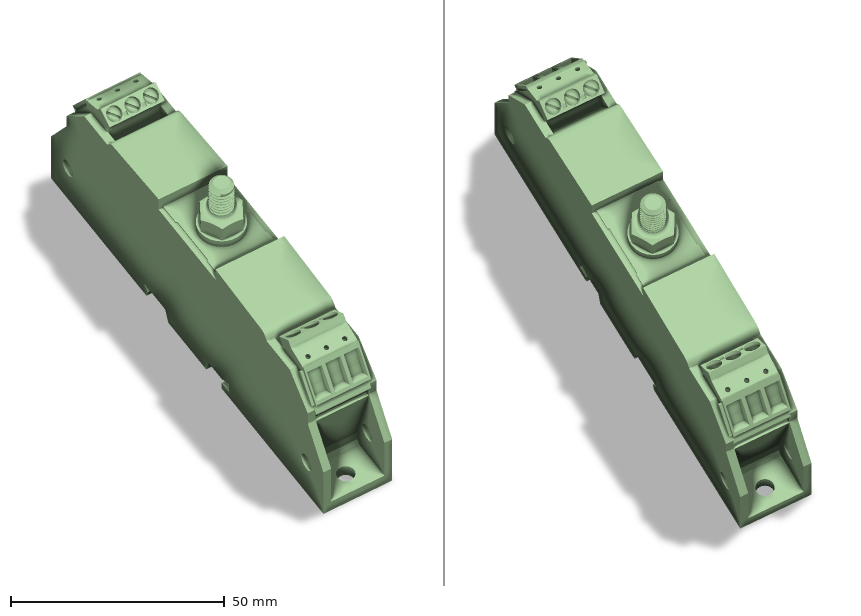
import cadquery as cq
import math

LENGTH = 120.0
WIDTH = 19.0
HALF_LENGTH = LENGTH / 2
END_HEIGHT = 15.3
SHOULDER_X = 53.1
SHOULDER_BOTTOM_Z = 26.2
SHOULDER_TOP_Z = 30.0
DECK_X = 45.2
DECK_Z = 38.0
CROWN_X = 34.6
CROWN_EDGE_Z = 38.75
CROWN_EDGE_ANGLE = 57.0
CROWN_ARC_X = 32.5
CROWN_ARC_Z = 40.0
CROWN_TOP_Z = 41.2
SEAT_HALF_LENGTH = 12.5
SEAT_Z = 37.4

CLEARANCE = 1.0

POCKET_WIDTH = 14.7
FLOOR_Z = 3.2
POCKET_BACK_X = 48.0
FLOOR_BEVEL = 1.1
BACK_TOP_Z = 6.8
RAMP_TOP_X = 53.1
RAMP_TOP_Z = 25.7
RECESS_FOOT_Z = 32.7
HOLE_DIAMETER = 4.5
SIDE_HOLE_X = 52.5
SIDE_HOLE_Z = 11.3
FLOOR_HOLE_X = 54.7

SLOT_ROOF_Z = 3.5
HOOK_MOUTH_X = -17.9
HOOK_NOSE = (-17.3, 1.9)
HOOK_UNDERCUT = (-18.9, 3.0)
HOOK_ROOF_END_X = -9.7
HOOK_END_X = -8.3
LATCH_START_X = 8.4
LATCH_ROOF_START_X = 9.3
LATCH_MOUTH_X = 15.2
LATCH_BACK_X = 18.4
LATCH_BACK_TOP_Z = 4.9
LATCH_LEDGE_Z = 2.1

STUD_TOP_Z = 54.25
STUD_DIAMETER = 6.0
STUD_TIP_DIAMETER = 4.0
STUD_TIP_HEIGHT = 0.9
THREAD_PITCH = 1.0
THREAD_CORE_DIAMETER = 4.9
THREAD_CREST_FLAT = THREAD_PITCH / 8
THREAD_OVERSHOOT = 0.05
PLATE_TOP_Z = 37.8
PLATE_WIDTH = 16.6
PLATE_NOTCH_LENGTH = 13.7
PLATE_NOTCH_DEPTH = 0.35
WASHER_DIAMETER = 12.0
WASHER_TOP_Z = 39.8
NUT_ACROSS_FLATS = 10.0
NUT_TOP_Z = 44.7
NUT_FACE_DIAMETER = 9.0
NUT_CHAMFER_ANGLE = 30.0

POLES = 3
POLE_PITCH = 5.08
BLOCK_WIDTH = POLES * POLE_PITCH
WIRE_FACE_LOW = (-53.4, 32.3)
WIRE_FACE_HIGH = (-47.75, 40.65)
TOP_GROOVE = (-47.4, 40.25)
TOP_FACE_LOW = (-47.1, 40.55)
STEP_FOOT = (-42.5, 42.1)
PEAK = (-41.1, 43.8)
SCREW_FACE_END = (-37.1, 41.1)
RIB_ROOT = (-52.2, 31.0)
RIB_TOP = (-53.4, 29.1)
RIB_BOTTOM = (-53.4, 28.8)
UNDERSIDE_OUTER = (-52.7, 28.6)
UNDERSIDE_INNER = (-51.5, RAMP_TOP_Z)
FAR_BLOCK_SHIFT = 0.4
BLOCK_BACK_X = -38.5
BLOCK_BACK_Z = 39.7
KEY_INNER_OFFSET = 1.6
KEY_OUTER_OFFSET = 0.85
KEY_LENGTH = 9.0
KEY_HEIGHT = 0.75
KEY_GROOVE_DEPTH = 0.3
WIRE_OPENING_WIDTH = 4.1
WIRE_OPENING_DEPTH = 2.0
WIRE_OPENING_DRAFT = 20.0
WIRE_OPENING_LOW_X = -51.1
WIRE_OPENING_LOW_Z = 33.1
WIRE_OPENING_BEND = (-49.8, 35.1)
WIRE_OPENING_HIGH_X = -47.5
WIRE_OPENING_HIGH_Z = 39.4
TEST_HOLE_DIAMETER = 1.3
TEST_HOLE_DEPTH = 1.5
TEST_HOLE_X = -45.8
SCREW_DIAMETER = 4.0
SCREW_RECESS_DEPTH = 1.3
SCREW_SLOT_WIDTH = 0.6
SCREW_SLOT_DEPTH = 0.6
SCREW_SLOT_ANGLE = 45.0
NOTCH_SIZE = 1.1
NOTCH_DEPTH = 0.6
NOTCH_OFFSET = 1.1


def prism(points, width):
    """Extrude an (x, z) polygon symmetrically about the XZ plane."""
    return cq.Workplane("XZ").polyline(points).close().extrude(width / 2, both=True)


def mirrored(shape):
    """Join a shape at the -X end with its mirror image at the +X end."""
    return shape.union(shape.mirror("YZ"))


def face_plane(low, high, x):
    """Plane on the sloped face through two (x, z) points, with its normal upward."""
    dx = high[0] - low[0]
    dz = high[1] - low[1]
    z = low[1] + (x - low[0]) * dz / dx
    return cq.Plane(origin=(x, 0, z), xDir=(dx, 0, dz), normal=(-dz, 0, dx))


def pole_positions():
    return [(0, (i - (POLES - 1) / 2) * POLE_PITCH) for i in range(POLES)]


def crown_arc_middle():
    """Middle of the crown edge arc, which leaves its foot at the crown edge angle."""
    dx = CROWN_X - CROWN_ARC_X
    dz = CROWN_ARC_Z - CROWN_EDGE_Z
    half_sweep = math.radians(CROWN_EDGE_ANGLE) - math.atan2(dz, dx)
    rise = math.tan(half_sweep / 2) / 2
    return (-CROWN_X + dx / 2 - rise * dz, CROWN_EDGE_Z + dz / 2 + rise * dx)


def crown_slope_run(z):
    """Horizontal run of the sloped crown edge from its arc down to height z."""
    return (CROWN_EDGE_Z - z) / math.tan(math.radians(CROWN_EDGE_ANGLE))


def make_housing_half():
    outline = (
        cq.Workplane("XZ")
        .moveTo(0, 0)
        .lineTo(-HALF_LENGTH, 0)
        .lineTo(-HALF_LENGTH, END_HEIGHT)
        .lineTo(-SHOULDER_X, SHOULDER_BOTTOM_Z)
        .lineTo(-SHOULDER_X, SHOULDER_TOP_Z)
        .lineTo(-DECK_X, DECK_Z)
        .lineTo(-CROWN_X - crown_slope_run(DECK_Z), DECK_Z)
        .lineTo(-CROWN_X, CROWN_EDGE_Z)
        .threePointArc(crown_arc_middle(), (-CROWN_ARC_X, CROWN_ARC_Z))
        .lineTo(-SEAT_HALF_LENGTH, CROWN_TOP_Z)
        .lineTo(-SEAT_HALF_LENGTH, SEAT_Z)
        .lineTo(0, SEAT_Z)
        .close()
    )
    return outline.extrude(WIDTH / 2, both=True)


def make_end_pocket():
    clear_x = -HALF_LENGTH - CLEARANCE
    return prism(
        [
            (clear_x, FLOOR_Z),
            (-POCKET_BACK_X - FLOOR_BEVEL, FLOOR_Z),
            (-POCKET_BACK_X, FLOOR_Z + FLOOR_BEVEL),
            (-POCKET_BACK_X, BACK_TOP_Z),
            (-RAMP_TOP_X, RAMP_TOP_Z),
            (-CROWN_X - crown_slope_run(RECESS_FOOT_Z), RAMP_TOP_Z),
            (-CROWN_X - crown_slope_run(RECESS_FOOT_Z), RECESS_FOOT_Z),
            (-CROWN_X, CROWN_EDGE_Z),
            (-CROWN_X, CROWN_TOP_Z),
            (clear_x, CROWN_TOP_Z),
        ],
        POCKET_WIDTH,
    )


def make_rail_slots():
    hooked = [
        (HOOK_MOUTH_X, -CLEARANCE),
        (HOOK_MOUTH_X, 0),
        HOOK_NOSE,
        HOOK_UNDERCUT,
        (HOOK_UNDERCUT[0], SLOT_ROOF_Z),
        (HOOK_ROOF_END_X, SLOT_ROOF_Z),
        (HOOK_END_X, 0),
        (HOOK_END_X, -CLEARANCE),
    ]
    latched = [
        (LATCH_START_X, -CLEARANCE),
        (LATCH_START_X, 0),
        (LATCH_ROOF_START_X, SLOT_ROOF_Z),
        (LATCH_MOUTH_X, SLOT_ROOF_Z),
        (LATCH_BACK_X, LATCH_BACK_TOP_Z),
        (LATCH_BACK_X, LATCH_LEDGE_Z),
        (LATCH_MOUTH_X, LATCH_LEDGE_Z),
        (LATCH_MOUTH_X, -CLEARANCE),
    ]
    return prism(hooked, WIDTH).union(prism(latched, WIDTH))


def make_fixing_holes():
    side = (
        cq.Workplane("XZ").center(-SIDE_HOLE_X, SIDE_HOLE_Z)
        .circle(HOLE_DIAMETER / 2).extrude(WIDTH, both=True)
    )
    floor = cq.Workplane("XY").center(-FLOOR_HOLE_X, 0).circle(HOLE_DIAMETER / 2).extrude(FLOOR_Z)
    return mirrored(side.union(floor))


def make_housing():
    return (
        mirrored(make_housing_half())
        .cut(mirrored(make_end_pocket()))
        .cut(make_rail_slots())
        .cut(make_fixing_holes())
    )


def make_key_strip(y_start, y_end):
    """Strip along the wire face, between two distances from the XZ plane."""
    plane = face_plane(WIRE_FACE_LOW, WIRE_FACE_HIGH, WIRE_FACE_LOW[0])
    thickness = KEY_INNER_OFFSET - KEY_OUTER_OFFSET
    return (
        cq.Workplane(plane)
        .workplane(offset=-KEY_INNER_OFFSET)
        .center(KEY_LENGTH / 2, (y_start + y_end) / 2)
        .rect(KEY_LENGTH, abs(y_end - y_start))
        .extrude(thickness)
    )


def make_wire_openings():
    clear_x = WIRE_FACE_LOW[0] - CLEARANCE
    profile = [
        (clear_x, WIRE_OPENING_LOW_Z),
        (WIRE_OPENING_LOW_X, WIRE_OPENING_LOW_Z),
        WIRE_OPENING_BEND,
        (WIRE_OPENING_HIGH_X, WIRE_OPENING_HIGH_Z),
        (clear_x, WIRE_OPENING_HIGH_Z),
    ]
    middle_x = (WIRE_FACE_LOW[0] + WIRE_FACE_HIGH[0]) / 2
    plane = face_plane(WIRE_FACE_LOW, WIRE_FACE_HIGH, middle_x)
    wedge_length = 3 * (WIRE_OPENING_HIGH_Z - WIRE_OPENING_LOW_Z)
    wedge = (
        cq.Workplane(plane).rect(wedge_length, WIRE_OPENING_WIDTH)
        .extrude(-WIRE_OPENING_DEPTH, taper=WIRE_OPENING_DRAFT)
    )
    opening = prism(profile, WIRE_OPENING_WIDTH).intersect(wedge)
    openings = cq.Workplane("XY")
    for _, y in pole_positions():
        openings = openings.union(opening.translate((0, y, 0)))
    return openings


def make_test_holes():
    plane = face_plane(TOP_FACE_LOW, STEP_FOOT, TEST_HOLE_X)
    holes = cq.Workplane(plane).pushPoints(pole_positions())
    return holes.circle(TEST_HOLE_DIAMETER / 2).extrude(-TEST_HOLE_DEPTH)


def make_screw_recesses():
    plane = face_plane(PEAK, SCREW_FACE_END, (PEAK[0] + SCREW_FACE_END[0]) / 2)
    recesses = (
        cq.Workplane(plane).pushPoints(pole_positions())
        .circle(SCREW_DIAMETER / 2).extrude(-SCREW_RECESS_DEPTH)
    )
    slots = (
        cq.Workplane(plane).workplane(offset=-SCREW_RECESS_DEPTH).pushPoints(pole_positions())
        .slot2D(SCREW_DIAMETER, SCREW_SLOT_WIDTH, SCREW_SLOT_ANGLE).extrude(-SCREW_SLOT_DEPTH)
    )
    notch_places = [(NOTCH_OFFSET, y + POLE_PITCH / 2) for _, y in pole_positions()[:-1]]
    notches = (
        cq.Workplane(plane).pushPoints(notch_places)
        .rect(NOTCH_SIZE, NOTCH_SIZE).extrude(-NOTCH_DEPTH)
    )
    return recesses.union(slots).union(notches)


def make_terminal_block():
    lip = face_plane(WIRE_FACE_LOW, WIRE_FACE_HIGH, WIRE_FACE_LOW[0]).toWorldCoords(
        (0, 0, -KEY_OUTER_OFFSET)
    )
    block = prism(
        [
            WIRE_FACE_LOW, WIRE_FACE_HIGH, TOP_GROOVE, TOP_FACE_LOW, STEP_FOOT, PEAK, SCREW_FACE_END,
            (BLOCK_BACK_X, BLOCK_BACK_Z),
            (BLOCK_BACK_X, RAMP_TOP_Z),
            UNDERSIDE_INNER, UNDERSIDE_OUTER, RIB_BOTTOM, RIB_TOP, RIB_ROOT,
            (lip.x, lip.z),
        ],
        BLOCK_WIDTH,
    )
    half = BLOCK_WIDTH / 2
    return (
        block
        .cut(make_key_strip(-half, -half + KEY_GROOVE_DEPTH))
        .union(make_key_strip(half, half + KEY_HEIGHT))
        .cut(make_wire_openings())
        .cut(make_test_holes())
        .cut(make_screw_recesses())
    )


def make_terminal_pair():
    """Block at the -X end and its copy turned half a turn about Z at the +X end."""
    block = make_terminal_block()
    turned = block.rotate((0, 0, 0), (0, 0, 1), 180)
    return block.union(turned.translate((FAR_BLOCK_SHIFT, 0, 0)))


def make_plate():
    height = PLATE_TOP_Z - SEAT_Z
    plate = cq.Workplane("XY", origin=(0, 0, SEAT_Z)).rect(2 * SEAT_HALF_LENGTH, PLATE_WIDTH)
    notches = (
        cq.Workplane("XY", origin=(0, 0, SEAT_Z))
        .pushPoints([(0, PLATE_WIDTH / 2), (0, -PLATE_WIDTH / 2)])
        .rect(PLATE_NOTCH_LENGTH, 2 * PLATE_NOTCH_DEPTH)
        .extrude(height)
    )
    return plate.extrude(height).cut(notches)


def make_washer():
    washer = cq.Workplane("XY", origin=(0, 0, PLATE_TOP_Z)).circle(WASHER_DIAMETER / 2)
    return washer.extrude(WASHER_TOP_Z - PLATE_TOP_Z)


def make_nut():
    corner_diameter = NUT_ACROSS_FLATS / math.cos(math.radians(30))
    height = NUT_TOP_Z - WASHER_TOP_Z
    prism_body = (
        cq.Workplane("XY", origin=(0, 0, WASHER_TOP_Z))
        .polygon(6, corner_diameter).extrude(height)
        .rotate((0, 0, 0), (0, 0, 1), 30)
    )
    outer_radius = corner_diameter / 2 + CLEARANCE
    face_radius = NUT_FACE_DIAMETER / 2
    drop = (outer_radius - face_radius) * math.tan(math.radians(NUT_CHAMFER_ANGLE))
    envelope = (
        cq.Workplane("XZ")
        .polyline([
            (0, WASHER_TOP_Z), (outer_radius, WASHER_TOP_Z), (outer_radius, NUT_TOP_Z - drop),
            (face_radius, NUT_TOP_Z), (0, NUT_TOP_Z),
        ])
        .close().revolve(360, (0, 0, 0), (0, 1, 0))
    )
    return prism_body.intersect(envelope)


def make_stud():
    """Stud above the nut, with a helical V thread and a tapered tip."""
    radius = STUD_DIAMETER / 2
    core_radius = THREAD_CORE_DIAMETER / 2
    tip_base_z = STUD_TOP_Z - STUD_TIP_HEIGHT
    stud = (
        cq.Workplane("XZ")
        .polyline([
            (0, WASHER_TOP_Z), (radius, WASHER_TOP_Z), (radius, tip_base_z),
            (STUD_TIP_DIAMETER / 2, STUD_TOP_Z), (0, STUD_TOP_Z),
        ])
        .close().revolve(360, (0, 0, 0), (0, 1, 0))
    )
    half_gap = (THREAD_PITCH - THREAD_CREST_FLAT) / 2
    flank_slope = (radius - core_radius) / half_gap
    wide_gap = half_gap + THREAD_OVERSHOOT / flank_slope
    start_z = NUT_TOP_Z - THREAD_PITCH / 2
    thread_length = tip_base_z - THREAD_PITCH / 4 - start_z
    helix = cq.Wire.makeHelix(THREAD_PITCH, thread_length, radius, center=cq.Vector(0, 0, start_z))
    groove = (
        cq.Workplane("XZ")
        .polyline([
            (radius + THREAD_OVERSHOOT, start_z - wide_gap),
            (core_radius, start_z),
            (radius + THREAD_OVERSHOOT, start_z + wide_gap),
        ])
        .close().sweep(cq.Workplane(obj=helix), isFrenet=True)
    )
    return stud.cut(groove)


result = (
    make_housing()
    .union(make_terminal_pair())
    .union(make_plate())
    .union(make_washer())
    .union(make_nut())
    .union(make_stud())
)